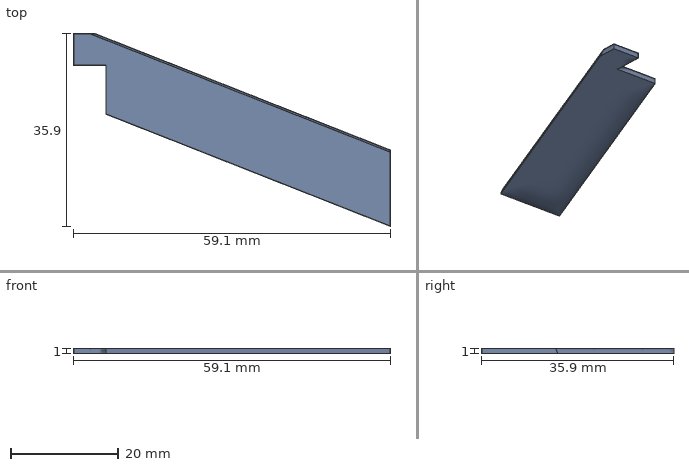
import cadquery as cq
import math

length = 59.05
width = 35.9
thickness = 1.0

tab_length = 6.0
tab_width = 5.9

heel_depth = 15.0
shoulder_length = 4.0
bevel_angle = 20.0

slope = (width - heel_depth) / (length - tab_length)
bevel_inset = thickness * math.tan(math.radians(bevel_angle))


def plate_blank():
    """Flat plate with square sides: the tab and the sloping blade."""
    return cq.Workplane("XY").polyline([
        (0, 0),
        (shoulder_length, 0),
        (length, -slope * (length - shoulder_length)),
        (length, -width),
        (tab_length, -heel_depth),
        (tab_length, -tab_width),
        (0, -tab_width),
    ]).close().extrude(thickness)


def bevel_cutter():
    """Wedge that tilts the full thickness of the upper long side."""
    overrun = length
    wedge = cq.Workplane("YZ").polyline([
        (0, 0),
        (-bevel_inset, thickness),
        (0, thickness),
    ]).close().extrude(length + 2 * overrun)
    edge_angle = -math.degrees(math.atan(slope))
    return (
        wedge.translate((-overrun, 0, 0))
        .rotate((0, 0, 0), (0, 0, 1), edge_angle)
        .translate((shoulder_length, 0, 0))
    )


result = plate_blank().cut(bevel_cutter())